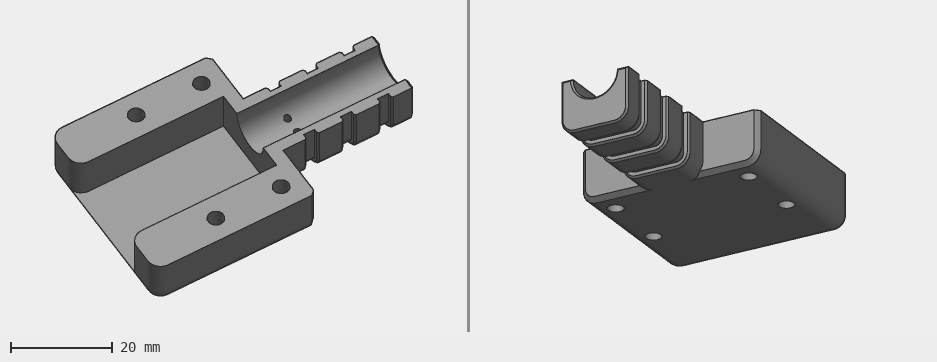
import cadquery as cq

total_length = 67.0
height = 11.5
body_width = 40.0
body_length = 37.0
edge_radius = 3.0
back_chamfer = 1.0

pocket_width = body_width / 2
back_wall = 3.0
pocket_length = body_length - back_wall
floor_thickness = 2.0

screw_diameter = 3.4
screw_spacing_x = 30.0
screw_spacing_y = 15.0
screw_setback = 5.0

neck_width = 15.0
channel_diameter = 10.0
groove_depth = 1.2
groove_width = 2.5
groove_pitch = 8.5
groove_count = 3
end_rib_length = 5.0
end_rib_start = total_length - end_rib_length
rib_chamfer = 0.4

pin_diameter = 1.5
pin_spacing = 3.6


def round_bottom_bar(width, bottom, radius, y_start, y_end):
    """Bar along Y, flush with the top plane, with its two lower long edges rounded."""
    bar_height = height - bottom
    bar = cq.Workplane("XY").box(width, y_end - y_start, bar_height, centered=(True, False, False))
    return bar.translate((0, y_start, bottom)).edges("|Y and <Z").fillet(radius)


def chamfered_ends(bar, face_selector):
    """Chamfer the sides and bottom of the chosen end faces, leaving the top edge sharp."""
    return bar.faces(face_selector).edges("not >Z").chamfer(rib_chamfer)


def make_body():
    body = cq.Workplane("XY").box(body_width, body_length, height, centered=(True, False, False))
    body = body.edges("|Z and <Y").fillet(edge_radius)
    body = body.faces("<Z").edges("not >Y").fillet(edge_radius)
    return body.faces(">Y").edges("not >Z").chamfer(back_chamfer)


def make_neck():
    core_width = neck_width - 2 * groove_depth
    core_radius = edge_radius - groove_depth
    neck = round_bottom_bar(core_width, groove_depth, core_radius, pocket_length, end_rib_start)

    end_rib = round_bottom_bar(neck_width, 0, edge_radius, end_rib_start, total_length)
    neck = neck.union(chamfered_ends(end_rib, "<Y"))

    for index in range(groove_count):
        rib_end = end_rib_start - groove_width - index * groove_pitch
        is_root = index == groove_count - 1
        rib_start = pocket_length if is_root else rib_end - groove_pitch + groove_width
        rib = round_bottom_bar(neck_width, 0, edge_radius, rib_start, rib_end)
        neck = neck.union(chamfered_ends(rib, ">Y" if is_root else "|Y"))
    return neck


def make_pocket():
    pocket = (
        cq.Workplane("XY")
        .box(pocket_width, pocket_length, height, centered=(True, False, False))
        .translate((0, 0, floor_thickness))
    )
    for side in (-1, 1):
        wall_x = side * pocket_width / 2
        flare = (
            cq.Workplane("XY", origin=(0, 0, floor_thickness))
            .moveTo(wall_x, 0)
            .lineTo(wall_x + side * edge_radius, 0)
            .radiusArc((wall_x, edge_radius), side * edge_radius)
            .close()
            .extrude(height)
        )
        pocket = pocket.union(flare)
    return pocket


def make_channel():
    channel_length = total_length - pocket_length
    channel_end = cq.Workplane("XZ", origin=(0, total_length, height))
    return channel_end.circle(channel_diameter / 2).extrude(channel_length)


def make_screw_holes():
    pattern_y = body_length - screw_setback - screw_spacing_y / 2
    return (
        cq.Workplane("XY")
        .center(0, pattern_y)
        .rarray(screw_spacing_x, screw_spacing_y, 2, 2)
        .circle(screw_diameter / 2)
        .extrude(height)
    )


def make_pin_holes():
    last_groove_y = end_rib_start - groove_width / 2 - (groove_count - 1) * groove_pitch
    return (
        cq.Workplane("XY")
        .center(0, last_groove_y)
        .rarray(pin_spacing, 0.7, 2, 1)
        .circle(pin_diameter / 2)
        .extrude(height)
    )


part = make_body().union(make_neck())
part = part.cut(make_pocket()).cut(make_channel())
part = part.faces(">Y").edges().chamfer(rib_chamfer)
result = part.cut(make_screw_holes()).cut(make_pin_holes())